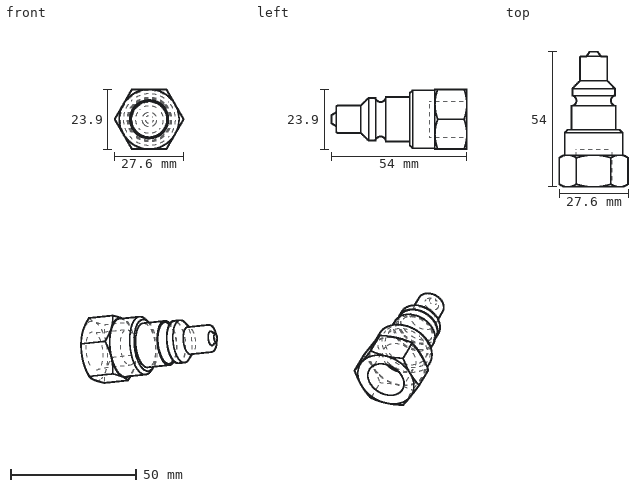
import cadquery as cq
import math


hex_across_flats = 23.876
hex_length = 12.7
hex_chamfer_angle = 30.0

body_diameter = 23.3
collar_diameter = 17.8
groove_edge_diameter = 16.6
groove_floor_diameter = 13.85
flange_diameter = 17.1
nose_diameter = 11.0
tip_base_diameter = 5.8
tip_end_diameter = 3.2

body_end = 22.84
body_chamfer = 1.3
collar_end = 32.4
flange_start = 36.4
flange_end = 39.2
nose_start = 42.3
nose_end = 52.1
nose_round = 0.6
total_length = 53.98

bore_diameter = 14.25
bore_mouth_diameter = 15.4
bore_taper_depth = 2.4
bore_depth = 15.0


def revolve_about_y(profile):
    """Turn a closed XY profile one full revolution about the Y axis."""
    return profile.close().revolve(360, (0, 0, 0), (0, 1, 0))


def make_hex():
    """Hex prism with corners on +/-X, its corners turned off conically at both ends."""
    corner_radius = hex_across_flats / math.sqrt(3)
    flat_radius = hex_across_flats / 2
    corner_drop = (corner_radius - flat_radius) * math.tan(math.radians(hex_chamfer_angle))
    prism = (
        cq.Workplane("XZ")
        .polygon(6, 2 * corner_radius)
        .extrude(-hex_length)
    )
    envelope = revolve_about_y(
        cq.Workplane("XY")
        .lineTo(flat_radius, 0)
        .lineTo(corner_radius, corner_drop)
        .lineTo(corner_radius, hex_length - corner_drop)
        .lineTo(flat_radius, hex_length)
        .lineTo(0, hex_length)
    )
    return prism.intersect(envelope)


def make_stem():
    """Stepped stem: chamfered body, collar, round groove, flange, rounded nose and conical tip."""
    body_radius = body_diameter / 2
    collar_radius = collar_diameter / 2
    groove_edge_radius = groove_edge_diameter / 2
    groove_middle = (collar_end + flange_start) / 2
    flange_radius = flange_diameter / 2
    nose_radius = nose_diameter / 2
    stem_start = hex_length / 2
    return revolve_about_y(
        cq.Workplane("XY")
        .moveTo(0, stem_start)
        .lineTo(body_radius, stem_start)
        .lineTo(body_radius, body_end - body_chamfer)
        .lineTo(body_radius - body_chamfer, body_end)
        .lineTo(collar_radius, body_end)
        .lineTo(collar_radius, collar_end)
        .lineTo(groove_edge_radius, collar_end)
        .threePointArc((groove_floor_diameter / 2, groove_middle), (groove_edge_radius, flange_start))
        .lineTo(flange_radius, flange_start)
        .lineTo(flange_radius, flange_end)
        .lineTo(nose_radius, nose_start)
        .lineTo(nose_radius, nose_end - nose_round)
        .radiusArc((nose_radius - nose_round, nose_end), -nose_round)
        .lineTo(tip_base_diameter / 2, nose_end)
        .lineTo(tip_end_diameter / 2, total_length)
        .lineTo(0, total_length)
    )


def make_bore():
    """Blind bore with a tapered mouth, as a solid to cut away."""
    bore_radius = bore_diameter / 2
    return revolve_about_y(
        cq.Workplane("XY")
        .lineTo(bore_mouth_diameter / 2, 0)
        .lineTo(bore_radius, bore_taper_depth)
        .lineTo(bore_radius, bore_depth)
        .lineTo(0, bore_depth)
    )


result = make_hex().union(make_stem()).cut(make_bore())